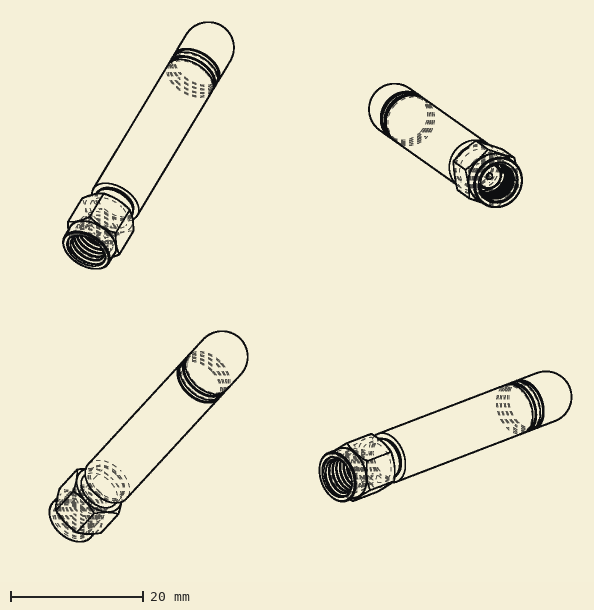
import cadquery as cq
import math

TOTAL_LENGTH = 48.7

SHEATH_RADIUS = 3.9
SHEATH_START = 10.75
GROOVE_RADIUS = 3.65
GROOVE_WIDTH = 0.8
GROOVE_STARTS = (38.1, 39.7)

RIM_RADIUS = 3.9
RIM_CHAMFER = 0.15
HEX_START = 2.4
HEX_END = 8.4
HEX_FLATS = 8.0
HEX_TURN = 8.0
HEX_FACE_RADIUS = 3.95
HEX_CHAMFER_ANGLE = 30.0
COLLAR_RADIUS = 3.15
COLLAR_END = 10.35
NECK_RADIUS = 3.0

BORE_RADIUS = 2.75
BORE_DEPTH = 5.85
THREAD_MAJOR_RADIUS = 3.15
ENTRY_DEPTH = 0.4
THREAD_PITCH = 0.8
THREAD_WIDTH = 0.6
THREAD_START = 0.3
THREAD_TURNS = 6
THREAD_OVERLAP = 0.05
BARREL_RADIUS = 2.0
BARREL_TIP_DEPTH = 3.9
BARREL_CHAMFER = 0.2
SOCKET_RADIUS = 0.5
SOCKET_DEPTH = 1.45


def cylinder(radius, start, end):
    """Solid cylinder on the Y axis between two Y positions."""
    plane = cq.Plane(origin=(0, start, 0), xDir=(1, 0, 0), normal=(0, 1, 0))
    return cq.Workplane(plane).circle(radius).extrude(end - start)


def revolve_about_y(outline):
    return outline.close().revolve(360, (0, 0, 0), (0, 1, 0))


def make_sheath():
    dome_start = TOTAL_LENGTH - SHEATH_RADIUS
    dome_middle = SHEATH_RADIUS * math.sqrt(0.5)
    sheath = revolve_about_y(
        cq.Workplane("XY")
        .moveTo(0, SHEATH_START)
        .lineTo(SHEATH_RADIUS, SHEATH_START)
        .lineTo(SHEATH_RADIUS, dome_start)
        .threePointArc((dome_middle, dome_start + dome_middle), (0, TOTAL_LENGTH))
    )
    for start in GROOVE_STARTS:
        end = start + GROOVE_WIDTH
        ring = cylinder(SHEATH_RADIUS, start, end).cut(cylinder(GROOVE_RADIUS, start, end))
        sheath = sheath.cut(ring)
    return sheath


def make_hexagon():
    """Hexagon with its corners chamfered at both ends by a double cone."""
    corner_radius = HEX_FLATS / math.sqrt(3)
    corner_angles = [math.radians(90 + HEX_TURN + 60 * i) for i in range(6)]
    corners = [(corner_radius * math.cos(a), corner_radius * math.sin(a)) for a in corner_angles]
    prism = (
        cq.Workplane("XZ", origin=(0, HEX_START, 0))
        .polyline(corners)
        .close()
        .extrude(HEX_START - HEX_END)
    )
    middle = (HEX_START + HEX_END) / 2
    cone_radius = HEX_FACE_RADIUS + (middle - HEX_START) / math.tan(math.radians(HEX_CHAMFER_ANGLE))
    double_cone = revolve_about_y(
        cq.Workplane("XY")
        .moveTo(0, HEX_START)
        .lineTo(HEX_FACE_RADIUS, HEX_START)
        .lineTo(cone_radius, middle)
        .lineTo(HEX_FACE_RADIUS, HEX_END)
        .lineTo(0, HEX_END)
    )
    return prism.intersect(double_cone)


def make_thread_cutter():
    """V section swept along a right-hand helix around the Y axis."""
    inner_radius = BORE_RADIUS - THREAD_OVERLAP
    flank_run = THREAD_WIDTH / 2 / (THREAD_MAJOR_RADIUS - BORE_RADIUS)
    half_width = flank_run * (THREAD_MAJOR_RADIUS - inner_radius)
    helix = cq.Wire.makeHelix(THREAD_PITCH, THREAD_PITCH * THREAD_TURNS, inner_radius)
    cutter = (
        cq.Workplane("XZ")
        .moveTo(inner_radius, -half_width)
        .lineTo(THREAD_MAJOR_RADIUS, 0)
        .lineTo(inner_radius, half_width)
        .close()
        .sweep(cq.Workplane(obj=helix), isFrenet=True)
    )
    return cutter.rotate((0, 0, 0), (1, 0, 0), -90).translate((0, THREAD_START, 0))


def make_barrel():
    """Chamfered contact barrel standing on the bore floor, with a central socket."""
    barrel = cylinder(BARREL_RADIUS, BARREL_TIP_DEPTH, BORE_DEPTH).faces("<Y").chamfer(BARREL_CHAMFER)
    return barrel.cut(cylinder(SOCKET_RADIUS, BARREL_TIP_DEPTH, BARREL_TIP_DEPTH + SOCKET_DEPTH))


def make_connector():
    rim = cylinder(RIM_RADIUS, 0, HEX_START).faces("<Y").chamfer(RIM_CHAMFER)
    collar = cylinder(COLLAR_RADIUS, HEX_END, COLLAR_END)
    neck = cylinder(NECK_RADIUS, COLLAR_END, SHEATH_START)
    shell = make_hexagon().union(rim).union(collar).union(neck)
    shell = shell.cut(cylinder(BORE_RADIUS, 0, BORE_DEPTH))
    shell = shell.cut(make_thread_cutter())
    shell = shell.cut(cylinder(THREAD_MAJOR_RADIUS, 0, ENTRY_DEPTH))
    return shell.union(make_barrel())


sheath = make_sheath()
connector = make_connector()

result = cq.Compound.makeCompound([sheath.val(), *connector.vals()])